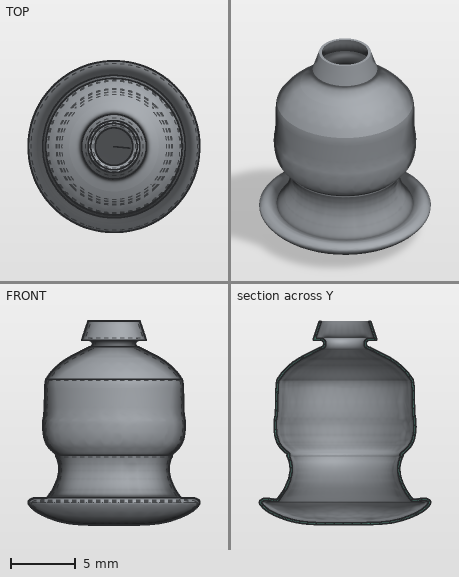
import cadquery as cq

wall = 0.2
height = 15.75

dish_radius = 6.62
dish_widest_z = 1.8
dish_underside_points = [(2.4, 0.03), (3.6, 0.15), (4.88, 0.5), (5.9, 0.98), (6.42, 1.4)]
dish_crest_radius = 6.2
dish_crest_z = 2.1

pedestal_base_radius = 5.28
pedestal_base_z = 1.97
pedestal_flare_point = (4.5, 3.2)
waist_radius = 4.25
waist_z = 4.3
lip_radius = 4.53
lip_z = 5.4
lip_rounding = 0.05

body_base_radius = 4.42
body_curve_points = [(5.0, 5.95), (5.37, 6.65)]
belly_radius = 5.5
belly_z = 7.8
body_radius = 5.35
body_top_z = 10.6

shoulder_outer_radius = 5.26
shoulder_outer_z = 11.25
shoulder_middle = (4.56, 12.12)
shoulder_inner_radius = 3.46
shoulder_inner_z = 12.95

groove_radius = 0.25
neck_radius = 1.65
groove_center_radius = neck_radius + groove_radius
collar_height = 1.5
collar_base_radius = 2.5
collar_top_radius = 2.0
collar_base_z = height - collar_height
groove_center_z = collar_base_z - groove_radius
neck_base_z = groove_center_z - groove_radius

INWARD = (-1, 0)
OUTWARD = (1, 0)
UPWARD = (0, 1)
BODY_BASE_DIRECTION = (1, 1)


def add_dish(outline):
    """One smooth curve from the axis, around the rim, to the pedestal base."""
    rim_point = (dish_radius, dish_widest_z)
    crest_point = (dish_crest_radius, dish_crest_z)
    pedestal_base = (pedestal_base_radius, pedestal_base_z)
    return outline.spline(
        dish_underside_points + [rim_point, crest_point, pedestal_base],
        tangents=[OUTWARD, INWARD],
        includeCurrent=True,
    )


def add_pedestal(outline):
    outline = outline.spline(
        [pedestal_flare_point, (waist_radius, waist_z), (lip_radius, lip_z)],
        includeCurrent=True,
    )
    return outline.lineTo(body_base_radius, lip_z)


def add_body(outline):
    return outline.spline(
        body_curve_points + [(belly_radius, belly_z), (body_radius, body_top_z)],
        tangents=[BODY_BASE_DIRECTION, UPWARD],
        includeCurrent=True,
    )


def add_shoulder(outline):
    """Rounded shoulder edge, domed band and the cone leading to the neck."""
    shoulder_edge = (shoulder_outer_radius, shoulder_outer_z)
    outline = outline.tangentArcPoint(shoulder_edge, relative=False)
    outline = outline.threePointArc(shoulder_middle, (shoulder_inner_radius, shoulder_inner_z))
    return outline.lineTo(groove_center_radius, neck_base_z)


def add_neck_and_collar(outline):
    groove_bottom = (neck_radius, groove_center_z)
    outline = outline.threePointArc(groove_bottom, (groove_center_radius, collar_base_z))
    outline = outline.lineTo(collar_base_radius, collar_base_z)
    return outline.lineTo(collar_top_radius, height)


def solid_of_revolution():
    outline = cq.Workplane("XZ").moveTo(0, 0)
    outline = add_dish(outline)
    outline = add_pedestal(outline)
    outline = add_body(outline)
    outline = add_shoulder(outline)
    outline = add_neck_and_collar(outline)
    return outline.lineTo(0, height).close().revolve(360, (0, 0, 0), (0, 1, 0))


def is_lip_edge(edge):
    tolerance = lip_rounding / 2
    same_radius = abs(edge.radius() - lip_radius) < tolerance
    same_height = abs(edge.Center().z - lip_z) < tolerance
    return same_radius and same_height


def round_lip(vessel):
    lip_edges = [edge for edge in vessel.edges("%CIRCLE").vals() if is_lip_edge(edge)]
    return vessel.newObject(lip_edges).fillet(lip_rounding)


vessel = solid_of_revolution().faces(">Z").shell(-wall)
result = round_lip(vessel)